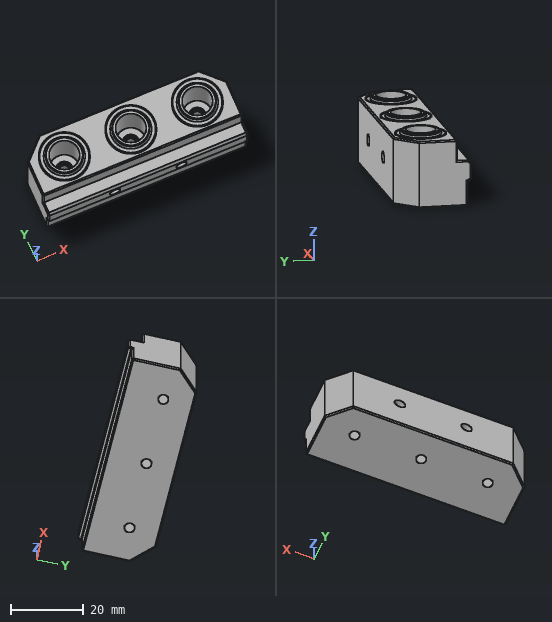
import cadquery as cq

length = 60.0
depth = 20.75
height = 20.0
boss_height = 1.0
block_height = height - boss_height
corner_cut = 6.0
edge_chamfer = 0.4

rail_overhang = 1.0
rail_depth = 3.95
rail_bottom = 7.0
rail_top = 13.0
rail_chamfer = 0.7

port_spacing = 20.0
port_from_back = 8.5
groove_outer_diameter = 14.2
groove_width = 0.3
groove_depth = 0.3
boss_base_diameter = 11.5
boss_diameter = 10.45
boss_cone_height = 0.5
boss_embed = 0.4
boss_top_chamfer = 0.2
bore_diameter = 8.45
bore_depth = 12.0
seat_diameter = 4.1
seat_chamfer = 0.25
seat_depth = 0.6
outlet_diameter = 2.8
outlet_chamfer = 0.2

cross_hole_diameter = 3.2
cross_hole_height = (rail_bottom + rail_top) / 2

back = depth / 2
front = -depth / 2
port_y = back - port_from_back
port_positions = [(column * port_spacing, port_y) for column in (-1, 0, 1)]
cross_hole_positions = [-port_spacing / 2, port_spacing / 2]


def make_block():
    """Stepped bar with cut rear corners and chamfered edges."""
    lower_wall = front + rail_overhang
    upper_wall = front + rail_depth
    section = [
        (back, 0),
        (lower_wall, 0),
        (lower_wall, rail_bottom),
        (front + rail_chamfer, rail_bottom),
        (front, rail_bottom + rail_chamfer),
        (front, rail_top - rail_chamfer),
        (front + rail_chamfer, rail_top),
        (upper_wall, rail_top),
        (upper_wall, block_height),
        (back, block_height),
    ]
    bar = cq.Workplane("YZ").polyline(section).close().extrude(length / 2, both=True)
    bar = bar.edges("|Z and >Y").chamfer(corner_cut)

    top_and_bottom_edges = bar.edges("<Z or >Z")
    end_edges = bar.edges("<X or >X").edges("not (>Y or <Z or >Z)")
    return top_and_bottom_edges.add(end_edges).chamfer(edge_chamfer)


def revolve_at_port(profile, position):
    """Revolve a (radius, height) profile about the vertical axis of a port."""
    solid = cq.Workplane("XZ").polyline(profile).close().revolve(360, (0, 0, 0), (0, 1, 0))
    return solid.translate((position[0], position[1], 0))


def make_boss(position):
    """Collar with a conical foot and a chamfered rim."""
    boss_radius = boss_diameter / 2
    profile = [
        (0, block_height - boss_embed),
        (boss_base_diameter / 2, block_height - boss_embed),
        (boss_base_diameter / 2, block_height),
        (boss_radius, block_height + boss_cone_height),
        (boss_radius, height - boss_top_chamfer),
        (boss_radius - boss_top_chamfer, height),
        (0, height),
    ]
    return revolve_at_port(profile, position)


def make_groove(position):
    """Ring groove with an upright outer wall and a sloping inner wall."""
    outer = groove_outer_diameter / 2
    profile = [
        (outer - groove_width, block_height),
        (outer, block_height - groove_depth),
        (outer, block_height),
    ]
    return revolve_at_port(profile, position)


def make_port_cavity(position):
    """Blind bore, chamfered seat and outlet running down through the block."""
    bore_floor = height - bore_depth
    seat_floor = bore_floor - seat_depth
    seat_radius = seat_diameter / 2
    outlet_radius = outlet_diameter / 2
    profile = [
        (0, height),
        (bore_diameter / 2, height),
        (bore_diameter / 2, bore_floor),
        (seat_radius + seat_chamfer, bore_floor),
        (seat_radius, bore_floor - seat_chamfer),
        (seat_radius, seat_floor),
        (outlet_radius + outlet_chamfer, seat_floor),
        (outlet_radius, seat_floor - outlet_chamfer),
        (outlet_radius, 0),
        (0, 0),
    ]
    return revolve_at_port(profile, position)


def make_cross_hole(x):
    """Round hole along Y through the rail and the whole block."""
    hole = cq.Workplane("XZ").circle(cross_hole_diameter / 2).extrude(depth / 2, both=True)
    return hole.translate((x, 0, cross_hole_height))


result = make_block()
for port in port_positions:
    result = result.cut(make_groove(port))
    result = result.union(make_boss(port))
    result = result.cut(make_port_cavity(port))
for hole_x in cross_hole_positions:
    result = result.cut(make_cross_hole(hole_x))